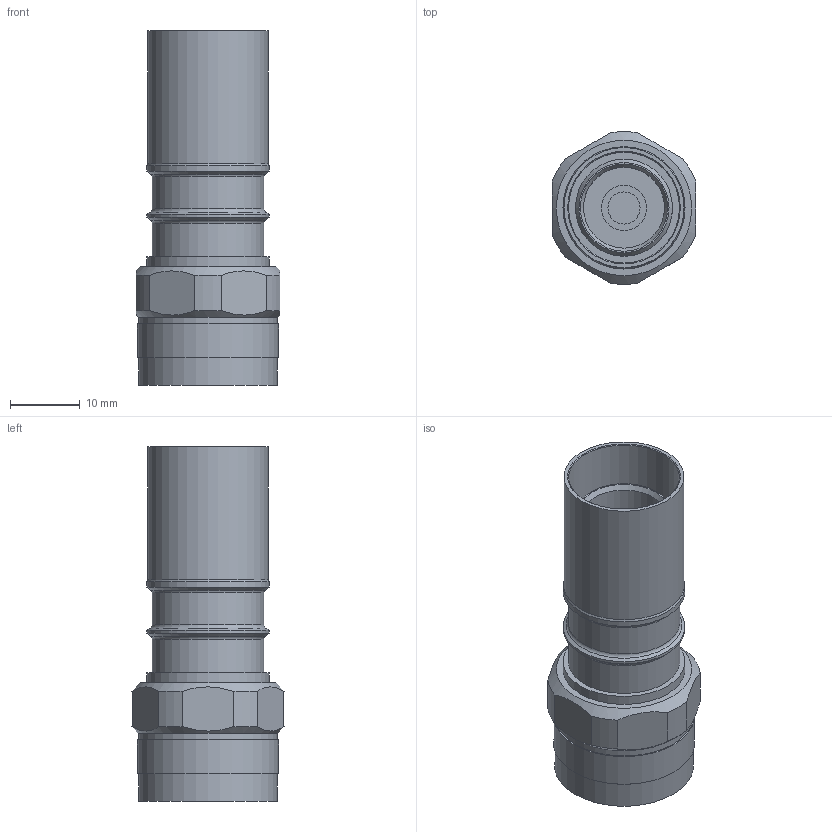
import cadquery as cq

total_height = 50.8

sleeve_radius = 9.95
band_radius = 10.1
band_bottom = 3.95
band_top = 8.8

nut_across_flats = 20.6
nut_corner_radius = 10.95
nut_bottom = 9.75
nut_top = 17.0
nut_top_chamfer = 1.25
nut_bottom_chamfer = 0.95
hexagon_circumdiameter = nut_across_flats * 2 / 3 ** 0.5

collar_top = 18.4
crest_radius = 8.75
neck_radius = 8.0
lower_barb_bottom = 23.25
lower_crest_bottom = 24.1
lower_crest_top = 24.5
lower_barb_top = 25.3
upper_barb_bottom = 29.9
upper_crest_bottom = 30.7
upper_crest_top = 31.45
upper_barb_top = 31.75

lower_root_height = 0.37
lower_root_rise = 0.19
upper_root_height = 0.5
upper_root_rise = 0.3

tube_radius = 8.6
tube_bore_radius = 7.95
rim_chamfer = 0.12

post_outer_radius = 6.95
post_tip_outer_radius = 6.45
post_tip_inner_radius = 6.25
post_bore_radius = 5.8
post_top = total_height - 5.8
post_outer_bevel = 0.7
post_funnel_depth = 0.7

recess_radius = 3.25
recess_depth = 1.0
socket_radius = 2.3
socket_depth = 4.0


def revolve_about_z(points):
    """Turn a closed (radius, height) outline about the Z axis."""
    return cq.Workplane("XZ").polyline(points).close().revolve(360, (0, 0, 0), (0, 1, 0))


def blind_hole(radius, top, depth):
    """Cylinder on the Z axis reaching down from the given height."""
    return cq.Workplane("XY").workplane(offset=top - depth).circle(radius).extrude(depth)


def make_coupling_sleeve():
    return revolve_about_z([
        (0, 0),
        (sleeve_radius, 0),
        (sleeve_radius, band_bottom),
        (band_radius, band_bottom),
        (band_radius, band_top),
        (sleeve_radius, band_top),
        (sleeve_radius, nut_bottom),
        (0, nut_bottom),
    ])


def make_nut():
    height = nut_top - nut_bottom
    prism = (
        cq.Workplane("XY")
        .workplane(offset=nut_bottom)
        .polygon(6, hexagon_circumdiameter)
        .extrude(height)
        .rotate((0, 0, 0), (0, 0, 1), 90)
    )
    turned_blank = revolve_about_z([
        (0, nut_bottom),
        (nut_corner_radius - nut_bottom_chamfer, nut_bottom),
        (nut_corner_radius, nut_bottom + nut_bottom_chamfer),
        (nut_corner_radius, nut_top - nut_top_chamfer),
        (nut_corner_radius - nut_top_chamfer, nut_top),
        (0, nut_top),
    ])
    return prism.intersect(turned_blank)


def make_barbed_body():
    lower_root_radius = neck_radius + lower_root_rise
    upper_root_radius = neck_radius + upper_root_rise
    outline = (
        cq.Workplane("XZ")
        .moveTo(0, nut_top)
        .lineTo(crest_radius, nut_top)
        .lineTo(crest_radius, collar_top)
        .lineTo(neck_radius, collar_top)
        .lineTo(neck_radius, lower_barb_bottom)
        .tangentArcPoint((lower_root_radius, lower_barb_bottom + lower_root_height), relative=False)
        .lineTo(crest_radius, lower_crest_bottom)
        .lineTo(crest_radius, lower_crest_top)
        .lineTo(upper_root_radius, lower_barb_top - upper_root_height)
        .tangentArcPoint((neck_radius, lower_barb_top), relative=False)
        .lineTo(neck_radius, upper_barb_bottom)
        .tangentArcPoint((lower_root_radius, upper_barb_bottom + lower_root_height), relative=False)
        .lineTo(crest_radius, upper_crest_bottom)
        .lineTo(crest_radius, upper_crest_top)
        .lineTo(tube_radius, upper_barb_top)
        .lineTo(tube_radius, total_height)
        .lineTo(0, total_height)
        .close()
    )
    return outline.revolve(360, (0, 0, 0), (0, 1, 0))


def make_tube_cavity():
    """Space inside the tube, surrounding and above the post."""
    return revolve_about_z([
        (0, post_top),
        (post_tip_outer_radius, post_top),
        (post_outer_radius, post_top - post_outer_bevel),
        (post_outer_radius, upper_barb_top),
        (tube_bore_radius, upper_barb_top),
        (tube_bore_radius, total_height - rim_chamfer),
        (tube_bore_radius + rim_chamfer, total_height),
        (0, total_height),
    ])


def make_post_bore():
    return revolve_about_z([
        (0, nut_top),
        (post_bore_radius, nut_top),
        (post_bore_radius, post_top - post_funnel_depth),
        (post_tip_inner_radius, post_top),
        (0, post_top),
    ])


body = make_coupling_sleeve().union(make_nut()).union(make_barbed_body())
body = body.cut(make_tube_cavity()).cut(make_post_bore())
body = body.cut(blind_hole(recess_radius, nut_top, recess_depth))
result = body.cut(blind_hole(socket_radius, nut_top, socket_depth))